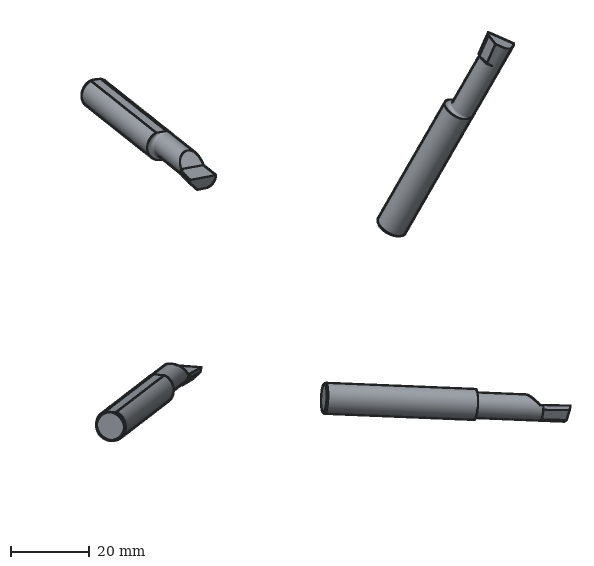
import cadquery as cq
import math

total_length = 63.5
shank_radius = 4.0
shank_length = 39.3
rear_chamfer = 0.4
top_flat_width = 2.85

neck_radius = 3.3
neck_offset = 1.0
shoulder_fillet = 0.75

rake_face_start = 55.9
head_start = 56.65
front_at_start = -2.8
front_at_tip = -3.4
land_height = 1.2
land_clearance = 8.0
relief_angle = 45.0

end_lean = 0.5
end_skew = 0.2

margin = 3.2


def x_cylinder(radius, start, end, offset=0.0):
    return cq.Workplane("YZ", origin=(start, offset, 0)).circle(radius).extrude(end - start)


def make_shank():
    return x_cylinder(shank_radius, 0, shank_length).faces("<X").chamfer(rear_chamfer)


def make_flat_cutter():
    flat_z = math.sqrt(shank_radius**2 - (top_flat_width / 2) ** 2)
    return cq.Workplane("XY", origin=(0, 0, flat_z)).rect(
        2 * total_length, 2 * shank_radius
    ).extrude(margin)


def make_neck():
    flare_radius = neck_radius + shoulder_fillet
    fillet_end = shank_length + shoulder_fillet
    diagonal = shoulder_fillet * (1 - math.sqrt(0.5))
    profile = (
        cq.Workplane("XY", origin=(0, neck_offset, 0))
        .moveTo(shank_length, 0)
        .lineTo(shank_length, -flare_radius)
        .threePointArc(
            (shank_length + diagonal, -neck_radius - diagonal),
            (fillet_end, -neck_radius),
        )
        .lineTo(total_length, -neck_radius)
        .lineTo(total_length, 0)
        .close()
    )
    neck = profile.revolve(360, (0, 0, 0), (1, 0, 0))
    return neck.intersect(x_cylinder(shank_radius, shank_length, total_length))


def head_section(front_y):
    land_y = front_y + land_height * math.tan(math.radians(land_clearance))
    relief_height = neck_radius - land_height
    bottom_y = land_y + relief_height * math.tan(math.radians(relief_angle))
    return [
        (neck_offset, 0),
        (front_y, 0),
        (land_y, -land_height),
        (bottom_y, -neck_radius),
        (neck_offset, -neck_radius),
    ]


def make_head():
    return (
        cq.Workplane("YZ", origin=(head_start, 0, 0))
        .polyline(head_section(front_at_start))
        .close()
        .workplane(offset=total_length - head_start)
        .polyline(head_section(front_at_tip))
        .close()
        .loft(ruled=True)
    )


def make_top_cutter():
    rise = neck_radius + margin
    return (
        cq.Workplane("XZ")
        .polyline([
            (rake_face_start, 0),
            (rake_face_start - rise, rise),
            (total_length + margin, rise),
            (total_length + margin, 0),
        ])
        .close()
        .extrude(2 * shank_radius, both=True)
    )


def end_outline(tip_x):
    return [
        (tip_x, front_at_tip),
        (tip_x - end_skew, shank_radius),
        (total_length + margin, shank_radius),
        (total_length + margin, front_at_tip),
    ]


def make_end_cutter():
    return (
        cq.Workplane("XY")
        .polyline(end_outline(total_length))
        .close()
        .workplane(offset=-neck_radius)
        .polyline(end_outline(total_length - end_lean))
        .close()
        .loft(ruled=True)
    )


bar = make_shank().union(make_neck()).union(make_head())
result = bar.cut(make_flat_cutter()).cut(make_top_cutter()).cut(make_end_cutter())